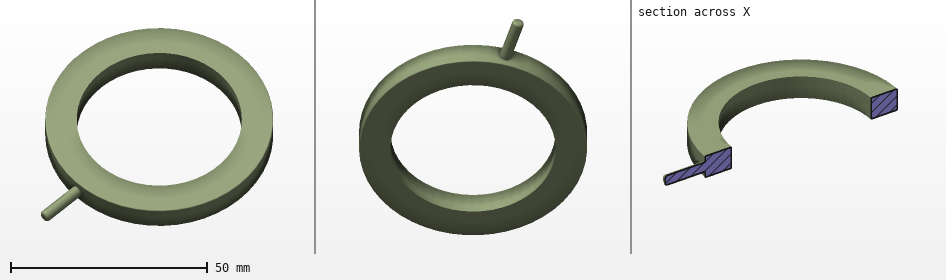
import cadquery as cq

overall_length = 70.0
outer_diameter = 58.0
inner_diameter = 42.0
ring_height = 6.6
rim_fillet = 0.3

pin_diameter = 3.0
pin_tip_fillet = 0.7
pin_tip_y = outer_diameter / 2 - overall_length
pin_root_y = -(inner_diameter + outer_diameter) / 4


def make_ring():
    """Flat ring centred on the origin, with both outer rims rounded and a sharp bore."""
    disc = (
        cq.Workplane("XY", origin=(0, 0, -ring_height / 2))
        .circle(outer_diameter / 2)
        .extrude(ring_height)
        .faces("<Z or >Z")
        .edges()
        .fillet(rim_fillet)
    )
    return disc.faces(">Z").workplane().hole(inner_diameter)


def make_pin():
    """Round pin with a rounded free end, its root buried in the ring wall."""
    pin = (
        cq.Workplane("XZ", origin=(0, pin_root_y, 0))
        .circle(pin_diameter / 2)
        .extrude(pin_root_y - pin_tip_y)
    )
    return pin.faces("<Y").edges().fillet(pin_tip_fillet)


result = make_ring().union(make_pin())